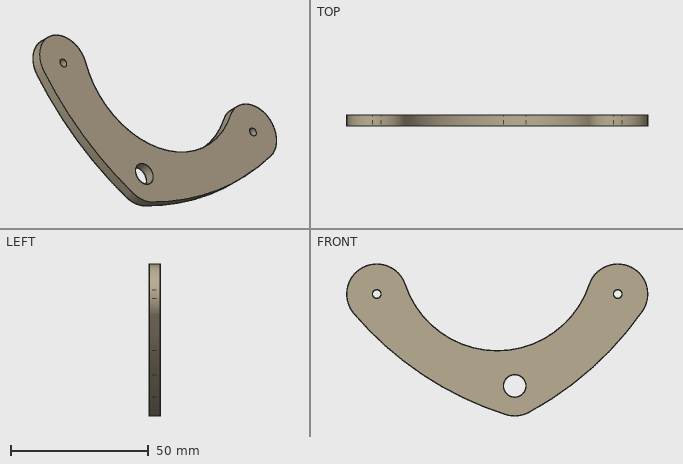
import cadquery as cq
import math

thickness = 4.0
lug_radius = 10.9
lug_spacing = 87.5
lug_hole_diameter = 3.1
tip_x = 6.3
tip_drop = 33.4
tip_hole_diameter = 8.1
inner_drop = 20.6
edge_radius = 120.3

left_lug = (-lug_spacing / 2, 0)
right_lug = (lug_spacing / 2, 0)
tip = (tip_x, -tip_drop)

inner_reach = inner_drop + lug_radius
inner_rise = ((lug_spacing / 2) ** 2 - inner_reach**2) / (2 * inner_reach)
inner_center = (0, inner_rise)


def point_towards(start, target, distance):
    """Point at a signed distance from start along the line to target."""
    step = distance / math.dist(start, target)
    return (start[0] + step * (target[0] - start[0]), start[1] + step * (target[1] - start[1]))


def outer_edge(start, end):
    """Start, middle and end of the arc wrapping two equal rounds, travelling counterclockwise."""
    chord = math.dist(start, end)
    chord_middle = point_towards(start, end, chord / 2)
    height = math.sqrt((edge_radius - lug_radius) ** 2 - (chord / 2) ** 2)
    center = (
        chord_middle[0] - height * (end[1] - start[1]) / chord,
        chord_middle[1] + height * (end[0] - start[0]) / chord,
    )
    return (
        point_towards(start, center, -lug_radius),
        point_towards(center, chord_middle, edge_radius),
        point_towards(end, center, -lug_radius),
    )


def plate():
    left_start, left_middle, left_end = outer_edge(left_lug, tip)
    right_start, right_middle, right_end = outer_edge(tip, right_lug)
    inner_left = point_towards(left_lug, inner_center, lug_radius)
    inner_right = point_towards(right_lug, inner_center, lug_radius)
    return (
        cq.Workplane("XZ", origin=(0, thickness / 2, 0))
        .moveTo(*inner_left)
        .threePointArc((left_lug[0] - lug_radius, 0), left_start)
        .threePointArc(left_middle, left_end)
        .threePointArc((tip_x, -tip_drop - lug_radius), right_start)
        .threePointArc(right_middle, right_end)
        .threePointArc((right_lug[0] + lug_radius, 0), inner_right)
        .threePointArc((0, -inner_drop), inner_left)
        .close()
        .extrude(thickness)
    )


def hole_cutters(centers, diameter):
    return (
        cq.Workplane("XZ", origin=(0, thickness / 2, 0))
        .pushPoints(centers)
        .circle(diameter / 2)
        .extrude(thickness)
    )


result = (
    plate()
    .cut(hole_cutters([left_lug, right_lug], lug_hole_diameter))
    .cut(hole_cutters([tip], tip_hole_diameter))
)